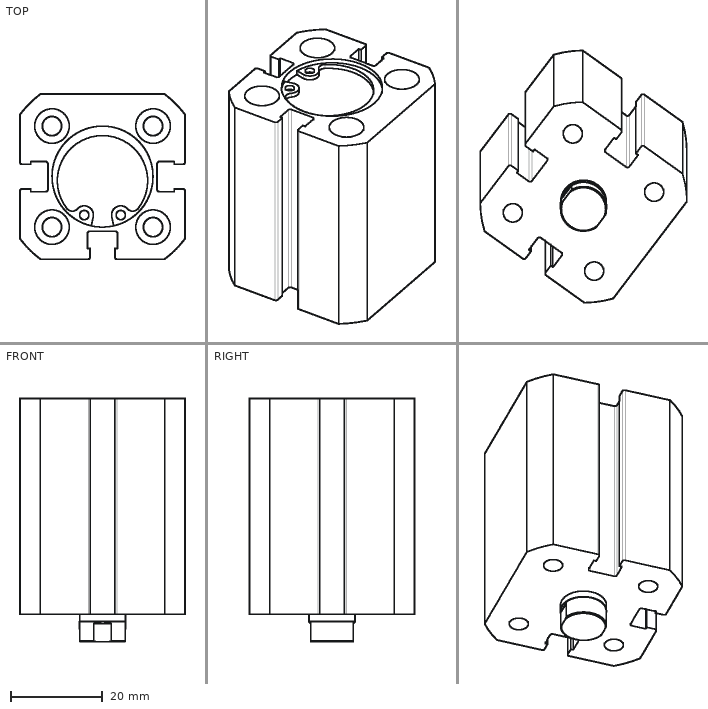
import cadquery as cq
import math

barrel_width = 36.0
corner_diameter = 45.0
overall_height = 53.0
rod_reach = 6.0

slot_depth = 6.1
slot_mouth_width = 5.35
slot_inner_width = 6.5
slot_lip_depth = 2.4
slot_edge_radius = 0.5

hole_spacing = 22.0
hole_diameter = 4.15
counterbore_diameter = 7.5
counterbore_depth = 5.2

bore_diameter = 22.0
ring_recess = 1.0
ring_thickness = 1.0
cap_thickness = 5.0
ring_opening_diameter = 19.65
ring_opening_offset = 0.9
lug_spread = 7.95
lug_drop = 8.4
lug_radius = 2.0
lug_hole_diameter = 2.0
lug_blend_radius = 1.5

rod_diameter = 10.0
rod_end_height = 4.45
rod_end_chamfer = 0.2
seat_chamfer = 0.1
flat_distance = 9.3
flat_height = 4.0

barrel_bottom = rod_reach
barrel_height = overall_height - barrel_bottom
ring_top = overall_height - ring_recess
cap_top = ring_top - ring_thickness
cap_bottom = cap_top - cap_thickness


def cylinder(diameter, bottom, top):
    return cq.Workplane("XY").workplane(offset=bottom).circle(diameter / 2).extrude(top - bottom)


def make_slot_cutter():
    """T-slot opening on the -Y side, with a rounded mouth and floor."""
    outer_face = -barrel_width / 2
    lip_back = outer_face + slot_lip_depth
    floor = outer_face + slot_depth
    half_mouth = slot_mouth_width / 2
    half_inner = slot_inner_width / 2
    r = slot_edge_radius
    bulge = r * (1 - math.sqrt(0.5))
    return (
        cq.Workplane("XY")
        .workplane(offset=barrel_bottom)
        .moveTo(-half_mouth - r, outer_face)
        .threePointArc((-half_mouth - bulge, outer_face + bulge), (-half_mouth, outer_face + r))
        .lineTo(-half_mouth, lip_back)
        .lineTo(-half_inner, lip_back)
        .lineTo(-half_inner, floor - r)
        .threePointArc((-half_inner + bulge, floor - bulge), (-half_inner + r, floor))
        .lineTo(half_inner - r, floor)
        .threePointArc((half_inner - bulge, floor - bulge), (half_inner, floor - r))
        .lineTo(half_inner, lip_back)
        .lineTo(half_mouth, lip_back)
        .lineTo(half_mouth, outer_face + r)
        .threePointArc((half_mouth + bulge, outer_face + bulge), (half_mouth + r, outer_face))
        .close()
        .extrude(barrel_height)
    )


def make_barrel():
    square = (
        cq.Workplane("XY")
        .workplane(offset=barrel_bottom)
        .rect(barrel_width, barrel_width)
        .extrude(barrel_height)
    )
    barrel = square.intersect(cylinder(corner_diameter, barrel_bottom, overall_height))

    slot_cutter = make_slot_cutter()
    for angle in (-90, 0, 90):
        barrel = barrel.cut(slot_cutter.rotate((0, 0, 0), (0, 0, 1), angle))

    barrel = (
        barrel.faces(">Z")
        .workplane(origin=(0, 0, overall_height))
        .rect(hole_spacing, hole_spacing, forConstruction=True)
        .vertices()
        .cboreHole(hole_diameter, counterbore_diameter, counterbore_depth)
    )
    barrel = barrel.cut(cylinder(bore_diameter, cap_bottom, overall_height))
    return barrel.cut(cylinder(rod_diameter, barrel_bottom, cap_bottom))


def make_end_cap():
    return cylinder(bore_diameter, cap_bottom, cap_top)


def make_ring_opening():
    """Opening inside the ring: an eccentric circle that flows round both lugs into the gap."""
    lug_x = lug_spread / 2
    lug_center = cq.Vector(lug_x, -lug_drop)
    opening_center = cq.Vector(0, -ring_opening_offset)
    opening_radius = ring_opening_diameter / 2

    gap_angle = math.atan2(lug_x, lug_drop) - math.asin(lug_radius / lug_center.Length)
    gap_direction = cq.Vector(math.sin(gap_angle), -math.cos(gap_angle))
    gap_inner = gap_direction * math.sqrt(lug_center.Length**2 - lug_radius**2)
    gap_outer = gap_direction * bore_diameter

    to_lug = lug_radius + lug_blend_radius
    to_opening = opening_radius - lug_blend_radius
    span = lug_center - opening_center
    along = (to_opening**2 - to_lug**2 + span.Length**2) / (2 * span.Length)
    across = math.sqrt(to_opening**2 - along**2)
    span_direction = span.normalized()
    span_normal = cq.Vector(-span_direction.y, span_direction.x)
    blend_center = opening_center + span_direction * along + span_normal * across

    def toward(center, radius, target):
        """Point of a circle in the direction of a target."""
        return center + (target - center).normalized() * radius

    blend_start = toward(lug_center, lug_radius, blend_center)
    blend_end = toward(opening_center, opening_radius, blend_center)
    blend_middle = toward(blend_center, lug_blend_radius, (blend_start + blend_end) * 0.5)
    lug_middle = toward(lug_center, lug_radius, cq.Vector(lug_x, 0))
    opening_top = opening_center + cq.Vector(0, opening_radius)

    def right(point):
        """Plane coordinates of a point on the +X side."""
        return (point.x, point.y)

    def left(point):
        """Mirror image of a point on the -X side."""
        return (-point.x, point.y)

    return (
        cq.Workplane("XY")
        .workplane(offset=cap_top)
        .moveTo(*right(gap_outer))
        .lineTo(*right(gap_inner))
        .threePointArc(right(lug_middle), right(blend_start))
        .threePointArc(right(blend_middle), right(blend_end))
        .threePointArc(right(opening_top), left(blend_end))
        .threePointArc(left(blend_middle), left(blend_start))
        .threePointArc(left(lug_middle), left(gap_inner))
        .lineTo(*left(gap_outer))
        .close()
        .extrude(ring_thickness)
    )


def make_retaining_ring():
    """Internal retaining ring, open at -Y, with a drilled lug at each end."""
    ring = cylinder(bore_diameter, cap_top, ring_top).cut(make_ring_opening())
    lug_holes = (
        cq.Workplane("XY")
        .workplane(offset=cap_top)
        .pushPoints([(-lug_spread / 2, -lug_drop), (lug_spread / 2, -lug_drop)])
        .circle(lug_hole_diameter / 2)
        .extrude(ring_thickness)
    )
    return ring.cut(lug_holes)


def make_rod():
    return cylinder(rod_diameter, rod_end_height, cap_bottom)


def make_rod_end():
    """Chamfered end piece with a pair of wrench flats on its -Y and +Y faces."""
    rod_end = cylinder(rod_diameter, 0, rod_end_height)
    rod_end = rod_end.faces("<Z").chamfer(rod_end_chamfer).faces(">Z").chamfer(seat_chamfer)
    flat_inset = (rod_diameter - flat_distance) / 2
    flat_cutter = (
        cq.Workplane("YZ")
        .moveTo(flat_distance / 2, 0)
        .lineTo(flat_distance / 2, flat_height)
        .lineTo(rod_diameter / 2, flat_height + flat_inset)
        .lineTo(rod_diameter / 2, 0)
        .close()
        .extrude(rod_diameter / 2, both=True)
    )
    return rod_end.cut(flat_cutter).cut(flat_cutter.mirror("XZ"))


barrel = make_barrel()
end_cap = make_end_cap()
retaining_ring = make_retaining_ring()
rod = make_rod()
rod_end = make_rod_end()

result = cq.Compound.makeCompound(
    [barrel.val(), end_cap.val(), retaining_ring.val(), rod.val(), rod_end.val()]
)